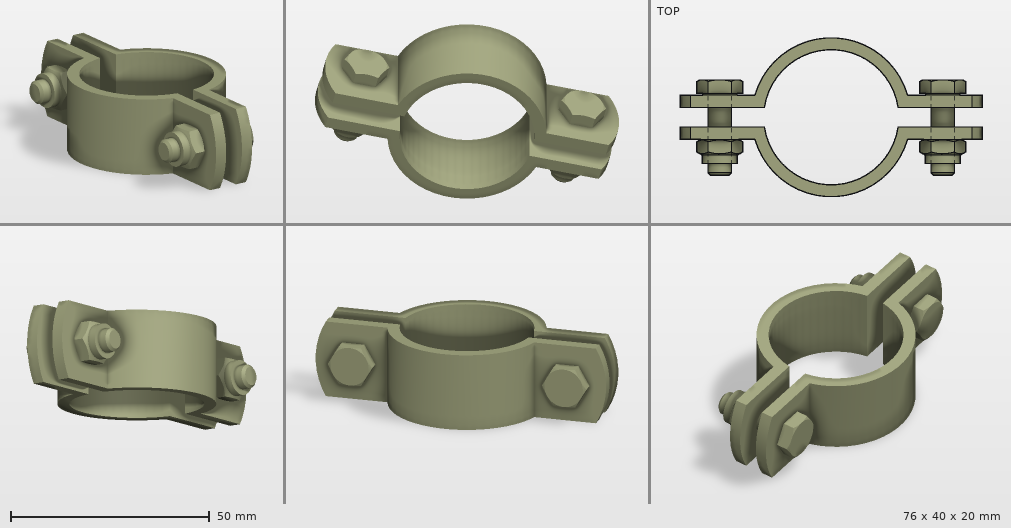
import cadquery as cq
import math

length = 76.0
band_width = 20.0
ring_outer_radius = 20.0
band_thickness = 3.05
ear_thickness = 3.1
ear_gap = 4.9
ear_end_radius = 20.0
ring_inner_radius = ring_outer_radius - band_thickness
ear_inner_y = ear_gap / 2
ear_outer_y = ear_inner_y + ear_thickness

bolt_spacing = 56.0
shank_diameter = 6.0
tip_chamfer = 0.7
tip_protrusion = 9.05
hex_across_flats = 10.0
hex_corner_diameter = hex_across_flats / math.cos(math.radians(30))
hex_chamfer_angle = 30
head_height = 3.4
head_washer_diameter = 8.7
head_washer_height = 0.45
nut_hex_height = 3.95
nut_seat_diameter = 9.5
collar_diameter = 8.9
collar_height = 2.1
bolt_tip_y = -ear_outer_y - tip_protrusion


def y_cylinder(diameter, y_start, y_end):
    """Cylinder about the Y axis, from y_start up to y_end."""
    return cq.Workplane("XZ", origin=(0, y_end, 0)).circle(diameter / 2).extrude(y_end - y_start)


def y_hexagon(y_start, y_end):
    """Hexagonal prism along Y with two corners on the X direction."""
    plane = cq.Workplane("XZ", origin=(0, y_end, 0))
    return plane.polygon(6, hex_corner_diameter).extrude(y_end - y_start)


def corner_cone(face_y, face_diameter, inward):
    """Solid cone that trims hexagon corners at face_y; inward (+1 or -1) points into the hexagon."""
    face_radius = face_diameter / 2
    base_radius = hex_corner_diameter
    base_y = face_y + inward * (base_radius - face_radius) * math.tan(math.radians(hex_chamfer_angle))
    far_y = base_y + inward * hex_corner_diameter
    profile = [(0, face_y), (face_radius, face_y), (base_radius, base_y), (base_radius, far_y), (0, far_y)]
    return cq.Workplane("XY").polyline(profile).close().revolve(360, (0, 0, 0), (0, 1, 0))


def make_clamp_half(side):
    """Clamp half on the +Y (side = 1) or -Y (side = -1) side of the split."""
    ears = cq.Workplane("XY").box(length, ear_thickness, band_width)
    ears = ears.translate((0, side * (ear_inner_y + ear_thickness / 2), 0))

    end_center = length / 2 - ear_end_radius
    corner_x = end_center + math.sqrt(ear_end_radius**2 - (band_width / 2) ** 2)
    ear_outline = (
        cq.Workplane("XZ", origin=(0, ring_outer_radius, 0))
        .moveTo(-corner_x, -band_width / 2)
        .lineTo(corner_x, -band_width / 2)
        .threePointArc((length / 2, 0), (corner_x, band_width / 2))
        .lineTo(-corner_x, band_width / 2)
        .threePointArc((-length / 2, 0), (-corner_x, -band_width / 2))
        .close()
        .extrude(2 * ring_outer_radius)
    )
    ears = ears.intersect(ear_outline)

    ring = cq.Workplane("XY").circle(ring_outer_radius).extrude(band_width / 2, both=True)
    kept_side = cq.Workplane("XY").box(length, ring_outer_radius, band_width)
    kept_side = kept_side.translate((0, side * (ear_inner_y + ring_outer_radius / 2), 0))
    bore = cq.Workplane("XY").circle(ring_inner_radius).extrude(band_width / 2, both=True)
    half = ears.union(ring.intersect(kept_side)).cut(bore)

    for x in bolt_positions:
        hole = y_cylinder(shank_diameter, -ear_outer_y, ear_outer_y)
        half = half.cut(hole.translate((x, 0, 0)))
    return half


def make_bolt(x):
    """Hexagon bolt with a washer face under its head and a chamfered tip."""
    head_bottom = ear_outer_y + head_washer_height
    head_top = head_bottom + head_height
    head = y_hexagon(head_bottom, head_top).intersect(corner_cone(head_top, hex_across_flats, -1))
    washer_face = y_cylinder(head_washer_diameter, ear_outer_y, head_bottom)
    shank = y_cylinder(shank_diameter, bolt_tip_y, head_bottom).faces("<Y").chamfer(tip_chamfer)
    return head.union(washer_face).union(shank).translate((x, 0, 0))


def make_nut(x):
    """Hexagon nut with both faces chamfered and a round locking collar."""
    seat_y = -ear_outer_y
    hex_end = seat_y - nut_hex_height
    body = y_hexagon(hex_end, seat_y)
    body = body.intersect(corner_cone(seat_y, nut_seat_diameter, -1))
    body = body.intersect(corner_cone(hex_end, collar_diameter, 1))
    collar = y_cylinder(collar_diameter, hex_end - collar_height, hex_end)
    bore = y_cylinder(shank_diameter, hex_end - collar_height, seat_y)
    return body.union(collar).cut(bore).translate((x, 0, 0))


bolt_positions = [-bolt_spacing / 2, bolt_spacing / 2]
clamp_halves = [make_clamp_half(side) for side in (1, -1)]
bolts = [make_bolt(x) for x in bolt_positions]
nuts = [make_nut(x) for x in bolt_positions]

result = cq.Compound.makeCompound([body.val() for body in clamp_halves + bolts + nuts])